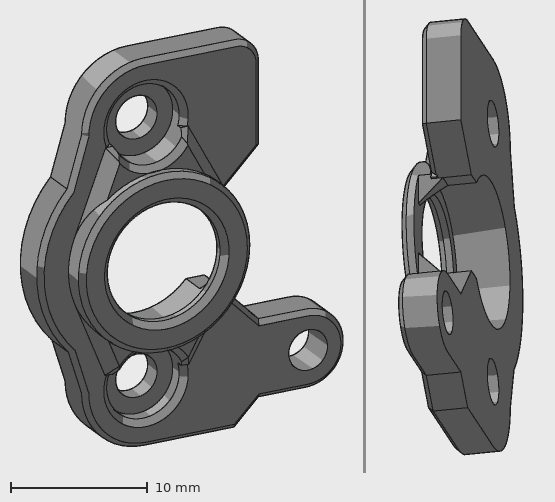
import cadquery as cq
import math

plate_thickness = 3.0
pad_top = 4.0
total_height = 5.0
plate_chamfer = 0.4
ring_chamfer = 0.43
bore_chamfer = 0.5

ring_radius = 14.15 / 2
bore_diameter = 9.3
seat_diameter = 11.33
hub_radius = 9.5
ring_embed = 0.3

screw_y = -0.68
upper_screw_z = 10.47
lower_screw_z = -10.0
screw_corner_radius = 5.112
screw_hole_diameter = 3.4
counterbore_radius = 6.0 / 2
counterbore_floor = 1.5
counterbore_chamfer = 0.5

side_y = 8.8
top_z = upper_screw_z + screw_corner_radius
bottom_z = lower_screw_z - screw_corner_radius
top_corner_radius = 2.0
hub_upper_z = 6.42
hub_lower_z = -6.55

arm_y = 12.7
arm_z = lower_screw_z
arm_radius = 3.1
arm_hole_diameter = 3.2

opening_y = 5.7
opening_half_width = 3.8
opening_half_width_top = 1.95

pad_boss_radius = 2.67
pad_end_gap = 1.0
pad_taper_angle = 45


def disc(radius, start, end, y=0, z=0):
    """Cylinder along X between two X positions."""
    return cq.Workplane("YZ", origin=(start, y, z)).circle(radius).extrude(end - start)


def arc_middle(center_y, center_z, radius, degrees):
    angle = math.radians(degrees)
    return (center_y + radius * math.cos(angle), center_z + radius * math.sin(angle))


def hub_point(z):
    return (-math.sqrt(hub_radius ** 2 - z ** 2), z)


def make_plate():
    corner_y = screw_y - screw_corner_radius
    bevel_start_z = opening_half_width + side_y - opening_y
    arm_top = arm_z + arm_radius
    arm_bottom = arm_z - arm_radius
    shoulder_y = opening_y - opening_half_width - arm_top
    corner_center = (side_y - top_corner_radius, top_z - top_corner_radius)
    outline = (
        cq.Workplane("YZ")
        .moveTo(screw_y, top_z)
        .threePointArc(
            arc_middle(screw_y, upper_screw_z, screw_corner_radius, 135), (corner_y, upper_screw_z)
        )
        .lineTo(*hub_point(hub_upper_z))
        .threePointArc((-hub_radius, 0), hub_point(hub_lower_z))
        .lineTo(corner_y, lower_screw_z)
        .threePointArc(
            arc_middle(screw_y, lower_screw_z, screw_corner_radius, 225), (screw_y, bottom_z)
        )
        .lineTo(side_y - (arm_bottom - bottom_z), bottom_z)
        .lineTo(side_y, arm_bottom)
        .lineTo(arm_y, arm_bottom)
        .threePointArc((arm_y + arm_radius, arm_z), (arm_y, arm_top))
        .lineTo(shoulder_y, arm_top)
        .lineTo(opening_y, -opening_half_width)
        .lineTo(opening_y, opening_half_width)
        .lineTo(side_y, bevel_start_z)
        .lineTo(side_y, corner_center[1])
        .threePointArc(arc_middle(*corner_center, top_corner_radius, 45), (corner_center[0], top_z))
        .close()
    )
    return outline.extrude(plate_thickness).faces(">X").edges().chamfer(plate_chamfer)


def make_pad(screw_z):
    """Pad between the two tangents of the ring and a screw boss, tapered on every side."""
    distance = math.hypot(screw_y, screw_z)
    toward_screw = math.atan2(screw_z, screw_y)
    spread = math.acos((ring_radius - pad_boss_radius) / distance)
    end_distance = distance - pad_end_gap
    end_half_width = (ring_radius - end_distance * math.cos(spread)) / math.sin(spread)
    foot_half_width = ring_radius * math.sin(spread)
    foot_distance = ring_radius * math.cos(spread)
    corners = [
        (0, 0),
        (foot_distance, -foot_half_width),
        (end_distance, -end_half_width),
        (end_distance, end_half_width),
        (foot_distance, foot_half_width),
    ]
    base = cq.Workplane("YZ", origin=(plate_thickness, 0, 0)).transformed(
        rotate=(0, 0, math.degrees(toward_screw))
    )
    raised = base.polyline(corners).close().extrude(pad_top - plate_thickness, taper=pad_taper_angle)
    foot = base.polyline(corners).close().extrude(-counterbore_chamfer)
    return raised.union(foot)


def make_ring():
    ring = disc(ring_radius, plate_thickness - ring_embed, total_height)
    return ring.faces(">X").edges().chamfer(ring_chamfer)


def flare(radius, growth, end, y=0, z=0):
    """45 degree cone along +X that widens by `growth` and finishes at X = end."""
    return (
        cq.Workplane("YZ", origin=(end - growth, y, z))
        .circle(radius)
        .workplane(offset=growth)
        .circle(radius + growth)
        .loft()
    )


def cut_screw_hole(body, screw_z):
    """Through hole and counterbore, chamfered where the bore leaves the pad."""
    hole = disc(screw_hole_diameter / 2, 0, total_height, screw_y, screw_z)
    bore = disc(counterbore_radius, counterbore_floor, pad_top, screw_y, screw_z)
    mouth = flare(counterbore_radius, counterbore_chamfer, pad_top, screw_y, screw_z)
    return body.cut(hole).cut(bore).cut(mouth)


def make_opening():
    """Side opening below the ring's lip, narrowing toward the lip between two gussets."""
    length = 2 * ring_radius
    gusset_start = pad_top - (opening_half_width - opening_half_width_top)
    profile = [
        (0, -opening_half_width),
        (gusset_start, -opening_half_width),
        (pad_top, -opening_half_width_top),
        (pad_top, opening_half_width_top),
        (gusset_start, opening_half_width),
        (0, opening_half_width),
    ]
    slot = cq.Workplane("XZ").polyline(profile).close().extrude(-length)
    gusset_trim = cq.Workplane("XY").box(
        pad_top - gusset_start, length, 2 * opening_half_width, centered=(False, False, True)
    ).translate((gusset_start, opening_y, 0))
    ring_trim = cq.Workplane("XY").box(
        pad_top - plate_thickness, length, length, centered=(False, False, True)
    ).translate((plate_thickness, opening_y, 0))
    return slot.intersect(disc(ring_radius, 0, pad_top)).union(gusset_trim).union(ring_trim)


body = make_plate().union(make_ring())
for screw_z in (upper_screw_z, lower_screw_z):
    body = body.cut(flare(counterbore_radius, counterbore_chamfer, plate_thickness, screw_y, screw_z))
    body = body.union(make_pad(screw_z))
for screw_z in (upper_screw_z, lower_screw_z):
    body = cut_screw_hole(body, screw_z)
body = body.cut(disc(bore_diameter / 2, 0, total_height))
body = body.cut(flare(bore_diameter / 2, bore_chamfer, total_height))
body = body.cut(disc(seat_diameter / 2, 0, pad_top))
body = body.cut(make_opening())
result = body.cut(disc(arm_hole_diameter / 2, 0, plate_thickness, arm_y, arm_z))